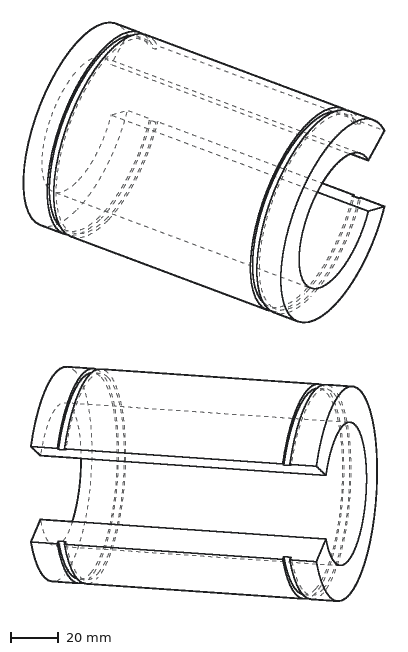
import cadquery as cq
import math

length = 125.0
outer_diameter = 90.0
bore_diameter = 60.0
slot_angle = 54.0

groove_diameter = 86.5
groove_width = 3.1
groove_end_distance = 11.6


def ring(start_x, width, outer, inner):
    """Ring about the X axis, starting at start_x."""
    return (
        cq.Workplane("YZ", origin=(start_x, 0, 0))
        .circle(outer / 2)
        .circle(inner / 2)
        .extrude(width)
    )


def slot_wedge():
    """Full-length wedge with its apex on the axis, reaching past the outer surface."""
    reach = outer_diameter
    half_opening = reach * math.tan(math.radians(slot_angle / 2))
    return (
        cq.Workplane("YZ", origin=(-length / 2, 0, 0))
        .polyline([(0, 0), (reach, -half_opening), (reach, half_opening)])
        .close()
        .extrude(length)
    )


sleeve = ring(-length / 2, length, outer_diameter, bore_diameter)

left_groove_start = -length / 2 + groove_end_distance
right_groove_start = -left_groove_start - groove_width
for groove_start in (left_groove_start, right_groove_start):
    sleeve = sleeve.cut(ring(groove_start, groove_width, 2 * outer_diameter, groove_diameter))

result = sleeve.cut(slot_wedge())